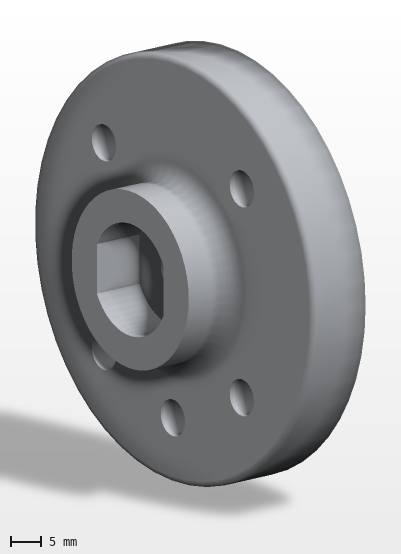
import cadquery as cq
import math

flange_diameter = 72.0
flange_thickness = 11.0
flange_edge_radius = 1.0
hub_diameter = 30.0
total_depth = 20.0
hub_fillet_radius = 3.2

hole_diameter = 6.2
bolt_circle_radius = 25.0
bolt_angles = (45, 135, 225, 270, 315)

socket_diameter = 19.0
socket_width = 17.1
socket_depth = 9.0


def make_body():
    """Flange from Y = 0 towards -Y, with the hub blended into its front face."""
    flange = cq.Workplane("XZ").circle(flange_diameter / 2).extrude(flange_thickness)
    flange = flange.faces("<Y").edges().fillet(flange_edge_radius)
    hub = cq.Workplane("XZ").circle(hub_diameter / 2).extrude(total_depth)
    body = flange.union(hub)
    front_face = body.faces(cq.selectors.NearestToPointSelector((bolt_circle_radius, -flange_thickness, 0)))
    hub_root = front_face.edges(cq.selectors.RadiusNthSelector(0))
    return hub_root.fillet(hub_fillet_radius)


def make_holes():
    """Center bore and flange holes, all passing right through."""
    centers = [(0, 0)]
    for angle in bolt_angles:
        x = bolt_circle_radius * math.cos(math.radians(angle))
        z = bolt_circle_radius * math.sin(math.radians(angle))
        centers.append((x, z))
    return cq.Workplane("XZ").pushPoints(centers).circle(hole_diameter / 2).extrude(total_depth)


def make_socket():
    """Circle cut by two flats facing +X and -X, open at the hub face."""
    floor = cq.Workplane("XZ").workplane(offset=total_depth - socket_depth)
    round_part = floor.circle(socket_diameter / 2).extrude(socket_depth)
    flats = floor.rect(socket_width, socket_diameter).extrude(socket_depth)
    return round_part.intersect(flats)


result = make_body().cut(make_holes()).cut(make_socket())